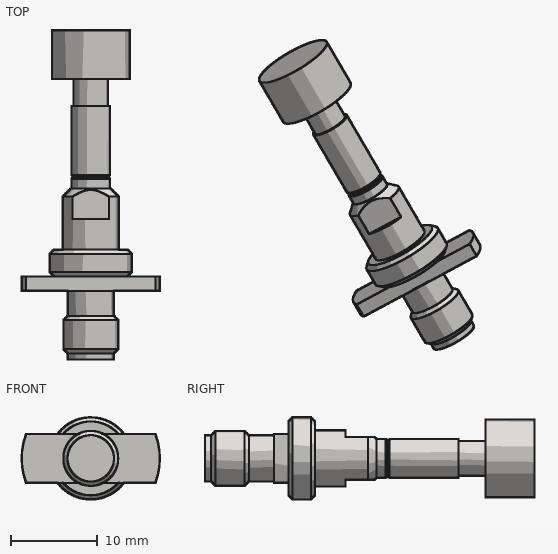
import cadquery as cq

total_length = 38.0

head_dia = 9.0
stem_dia = 4.03
barrel_dia = 4.5
groove_dia = 4.25
cone_start_dia = 4.55
body_dia = 6.5
collar_dia = 9.5
neck_dia = 5.35
connector_dia = 6.35

head_length = 5.65
stem_length = 3.08
barrel_length = 7.98
groove_width = 0.45
barrel_end_length = 1.05
body_length = 7.05
collar_length = 3.08
plate_thickness = 1.67
neck_length = 2.9
connector_length = 4.35
collar_chamfer = 0.5

flat_spacing = 4.95
flat_length = 3.55

plate_width = 15.95
plate_height = 5.62

head_bottom = total_length - head_length
stem_bottom = head_bottom - stem_length
groove_top = stem_bottom - barrel_length
groove_bottom = groove_top - groove_width
body_top = groove_bottom - barrel_end_length
body_bottom = body_top - body_length
collar_bottom = body_bottom - collar_length
plate_bottom = collar_bottom - plate_thickness
connector_top = plate_bottom - neck_length
connector_bottom = connector_top - connector_length

body_cone = (body_dia - cone_start_dia) / 2
connector_cone = (connector_dia - neck_dia) / 2
groove_mid = (groove_top + groove_bottom) / 2


def turned_profile():
    """Half section of the turned parts as (radius, Y) points."""
    sections = [
        (0, total_length),
        (head_dia, total_length),
        (head_dia, head_bottom),
        (stem_dia, head_bottom),
        (stem_dia, stem_bottom),
        (barrel_dia, stem_bottom),
        (barrel_dia, groove_top),
        (groove_dia, groove_top),
        (groove_dia, groove_mid),
        (barrel_dia, groove_bottom),
        (barrel_dia, body_top),
        (cone_start_dia, body_top),
        (body_dia, body_top - body_cone),
        (body_dia, body_bottom),
        (collar_dia - 2 * collar_chamfer, body_bottom),
        (collar_dia, body_bottom - collar_chamfer),
        (collar_dia, collar_bottom + collar_chamfer),
        (collar_dia - 2 * collar_chamfer, collar_bottom),
        (neck_dia, collar_bottom),
        (neck_dia, connector_top),
        (connector_dia, connector_top - connector_cone),
        (connector_dia, connector_bottom + connector_cone),
        (neck_dia, connector_bottom),
        (neck_dia, 0),
        (0, 0),
    ]
    return [(dia / 2, y) for dia, y in sections]


def make_turned_body():
    """Revolve the half section about the Y axis."""
    return cq.Workplane("XY").polyline(turned_profile()).close().revolve(360, (0, 0, 0), (0, 1, 0))


def make_flat_cutter(side):
    """Block that removes the body beyond one flat; side is +1 for top, -1 for bottom."""
    depth = (body_dia - flat_spacing) / 2
    z_mid = side * (flat_spacing + depth) / 2
    cutter = cq.Workplane("XY").box(body_dia, flat_length, depth)
    return cutter.translate((0, body_top - flat_length / 2, z_mid))


def make_plate():
    """Disc on the axis trimmed to the plate height, which leaves rounded ends."""
    disc = cq.Workplane("XZ", origin=(0, collar_bottom, 0)).circle(plate_width / 2).extrude(plate_thickness)
    strip = cq.Workplane("XY").box(plate_width, plate_thickness, plate_height)
    return disc.intersect(strip.translate((0, collar_bottom - plate_thickness / 2, 0)))


result = make_turned_body()
for side in (1, -1):
    result = result.cut(make_flat_cutter(side))
result = result.union(make_plate())